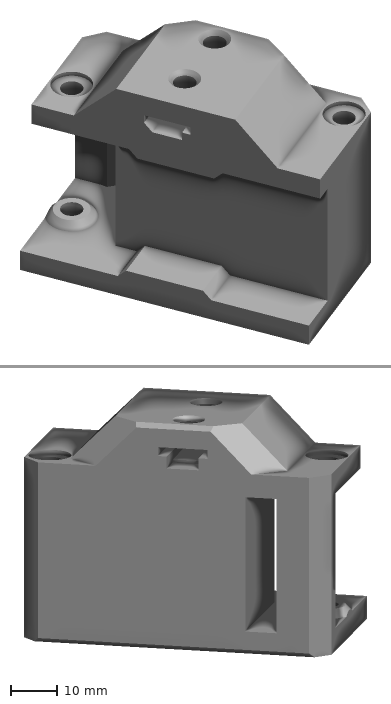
import cadquery as cq
import math

length = 68.0
depth = 37.0
height = 50.0

plate_thickness = 5.1
top_plate_z = 40.0
ceiling_z = top_plate_z - plate_thickness
top_plate_front_y = 6.0
block_front_y = 10.0
block_left_x = 18.1
corner_chamfer = 4.0
back_edge_chamfer = 1.0

pillar_right_x = 11.2
pillar_front_y = 29.25
pillar_arc_end_x = 7.6
pillar_bevel_depth = 3.05

middle_x = length / 2
tongue_height = 2.0
tongue_root_width = 22.0
tongue_tip_width = tongue_root_width - 2 * tongue_height

housing_height = height - top_plate_z
housing_base_width = 48.0
housing_top_width = housing_base_width - 2 * housing_height
housing_bevel_depth = 5.0
housing_bevel_width = 6.8

slot_left_x = 26.5
slot_right_x = 37.5
slot_top_z = 44.9
slot_shoulder_z = 42.9
slot_floor_z = 40.95
slot_shoulder_width = slot_shoulder_z - slot_floor_z
slot_step_y = 31.5
slot_step_drop = 0.7

screw_x = 31.95
screw_ys = (15.4, 31.35)
screw_diameter = 5.1
screw_head_diameter = 7.1
screw_head_depth = 1.0

left_hole = (4.95, 16.25)
right_hole = (63.0, 30.05)
hole_diameter = 5.0
seat_diameter = 9.25
seat_depth = 1.0

boss_base_diameter = 11.55
boss_top_diameter = 8.15
boss_height = 1.8


def block(x0, x1, y0, y1, z0, z1):
    """Box between two opposite corners."""
    return cq.Workplane("XY").box(x1 - x0, y1 - y0, z1 - z0, centered=False).translate((x0, y0, z0))


def prism_along_y(points, y0, y1):
    """Outline given as X, Z points, extruded from y0 back to y1."""
    return cq.Workplane("XZ", origin=(0, y0, 0)).polyline(points).close().extrude(y0 - y1)


def tongue(root_z, tip_z, front_y):
    root, tip = tongue_root_width / 2, tongue_tip_width / 2
    outline = [
        (middle_x - root, root_z),
        (middle_x - tip, tip_z),
        (middle_x + tip, tip_z),
        (middle_x + root, root_z),
    ]
    return prism_along_y(outline, front_y, block_front_y)


def pillar():
    """Back pillar: flat, then an arc about the left hole, then a bevel into the window."""
    hole_x, hole_y = left_hole
    radius = pillar_front_y - hole_y

    def arc_point(x):
        return (x, hole_y + math.sqrt(radius**2 - (x - hole_x) ** 2))

    arc_end = arc_point(pillar_arc_end_x)
    return (
        cq.Workplane("XY", origin=(0, 0, plate_thickness))
        .moveTo(0, pillar_front_y)
        .lineTo(hole_x, pillar_front_y)
        .threePointArc(arc_point((hole_x + pillar_arc_end_x) / 2), arc_end)
        .lineTo(pillar_right_x, arc_end[1] + pillar_bevel_depth)
        .lineTo(pillar_right_x, depth)
        .lineTo(0, depth)
        .close()
        .extrude(ceiling_z - plate_thickness)
    )


def frame():
    base_plate = block(0, length, 0, depth, 0, plate_thickness)
    top_plate = block(0, length, top_plate_front_y, depth, ceiling_z, top_plate_z)
    solid_block = block(block_left_x, length, block_front_y, depth, plate_thickness, ceiling_z)
    body = base_plate.union(top_plate).union(solid_block).union(pillar())
    body = body.union(tongue(plate_thickness, plate_thickness + tongue_height, 0))
    return body.union(tongue(ceiling_z, ceiling_z - tongue_height, top_plate_front_y))


def housing_bevel(side):
    """Wedge cut from a sloping back edge of the housing; side is -1 for left, 1 for right."""

    def corner(z):
        x = middle_x + side * (housing_base_width / 2 - (z - top_plate_z))
        return (
            cq.Vector(x, depth - housing_bevel_depth, z),
            cq.Vector(x - side * housing_bevel_width, depth, z),
            cq.Vector(x, depth, z),
        )

    ends = [cq.Wire.makePolygon(corner(z), close=True) for z in (top_plate_z, height)]
    return cq.Workplane(cq.Solid.makeLoft(ends, True))


def housing():
    base, top = housing_base_width / 2, housing_top_width / 2
    outline = [
        (middle_x - base, top_plate_z),
        (middle_x - top, height),
        (middle_x + top, height),
        (middle_x + base, top_plate_z),
    ]
    body = prism_along_y(outline, top_plate_front_y, depth)
    return body.cut(housing_bevel(-1)).cut(housing_bevel(1))


def slot():
    """Bevelled front stretch, then a T-shaped rear stretch with a lower floor."""
    inner_left_x = slot_left_x + slot_shoulder_width
    inner_right_x = slot_right_x - slot_shoulder_width
    front_outline = [
        (slot_left_x, slot_top_z),
        (slot_right_x, slot_top_z),
        (slot_right_x, slot_shoulder_z),
        (inner_right_x, slot_shoulder_z),
        (inner_right_x, slot_floor_z),
        (inner_left_x, slot_floor_z),
        (slot_left_x, slot_shoulder_z),
    ]
    rear_head = block(slot_left_x, slot_right_x, slot_step_y, depth, slot_shoulder_z, slot_top_z)
    rear_floor_z = slot_floor_z - slot_step_drop
    rear_stem = block(inner_left_x, inner_right_x, slot_step_y, depth, rear_floor_z, slot_shoulder_z)
    return prism_along_y(front_outline, top_plate_front_y, slot_step_y).union(rear_head).union(rear_stem)


def chamfer_back_edges(body):
    """Bevel the upright back corners of the frame and the top and bottom back edges."""
    for x, inward in ((0, 1), (length, -1)):
        corner = [(x, depth), (x + inward * corner_chamfer, depth), (x, depth - corner_chamfer)]
        body = body.cut(cq.Workplane("XY").polyline(corner).close().extrude(top_plate_z))
    for z, inward in ((0, 1), (height, -1)):
        edge = [(depth, z), (depth - back_edge_chamfer, z), (depth, z + inward * back_edge_chamfer)]
        body = body.cut(cq.Workplane("YZ").polyline(edge).close().extrude(length))
    return body


def left_boss():
    return (
        cq.Workplane("XY", origin=(*left_hole, plate_thickness))
        .circle(boss_base_diameter / 2)
        .workplane(offset=boss_height)
        .circle(boss_top_diameter / 2)
        .loft()
        .intersect(block(0, length, 0, depth, 0, height))
    )


def cut_seated_hole(body, centre):
    through = cq.Workplane("XY").center(*centre).circle(hole_diameter / 2).extrude(top_plate_z)
    seat = (
        cq.Workplane("XY", origin=(*centre, top_plate_z - seat_depth))
        .circle(seat_diameter / 2)
        .extrude(seat_depth)
    )
    return body.cut(through).cut(seat)


def cut_screw_hole(body, y):
    shank = (
        cq.Workplane("XY", origin=(screw_x, y, slot_top_z))
        .circle(screw_diameter / 2)
        .extrude(height - slot_top_z)
    )
    head = (
        cq.Workplane("XY", origin=(screw_x, y, height - screw_head_depth))
        .circle(screw_diameter / 2)
        .workplane(offset=screw_head_depth)
        .circle(screw_head_diameter / 2)
        .loft()
    )
    return body.cut(shank).cut(head)


result = frame().union(left_boss()).union(housing())
result = chamfer_back_edges(result).cut(slot())
for hole in (left_hole, right_hole):
    result = cut_seated_hole(result, hole)
for screw_y in screw_ys:
    result = cut_screw_hole(result, screw_y)